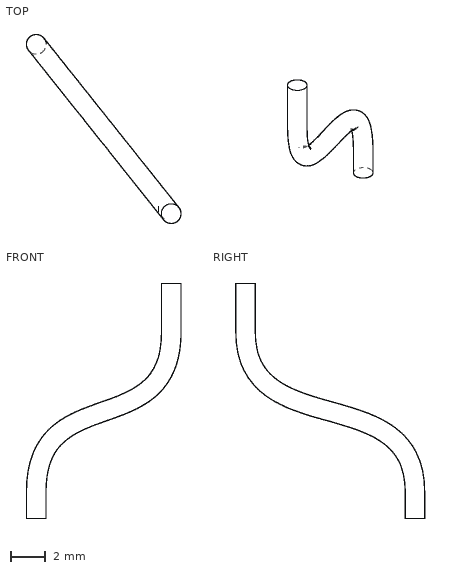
import cadquery as cq
import math

WIRE_DIAMETER = 1.14
OVERALL_X = 8.92
OVERALL_Y = 10.9
OVERALL_Z = 13.55
LOWER_LEG_LENGTH = 1.54
UPPER_LEG_LENGTH = 2.80

LOWER_HANDLE = 6.50
UPPER_HANDLE = 6.43

offset_x = OVERALL_X - WIRE_DIAMETER
offset_y = OVERALL_Y - WIRE_DIAMETER
span = math.hypot(offset_x, offset_y)

lower_bend_z = LOWER_LEG_LENGTH
upper_bend_z = OVERALL_Z - UPPER_LEG_LENGTH

lower_leg_foot = (-offset_x / 2, offset_y / 2, 0)


def make_centerline():
    """Lower leg, S-bend and upper leg, drawn as (distance along the span, height)."""
    bend_plane = cq.Plane(
        origin=lower_leg_foot,
        xDir=(offset_x, -offset_y, 0),
        normal=(-offset_y, -offset_x, 0),
    )
    bend_controls = [
        (0, lower_bend_z),
        (0, lower_bend_z + LOWER_HANDLE),
        (span, upper_bend_z - UPPER_HANDLE),
        (span, upper_bend_z),
    ]
    return (
        cq.Workplane(bend_plane)
        .lineTo(0, lower_bend_z)
        .bezier(bend_controls)
        .lineTo(span, OVERALL_Z)
    )


def make_wire():
    """Round section swept along the centerline."""
    section = cq.Workplane("XY", origin=lower_leg_foot).circle(WIRE_DIAMETER / 2)
    return section.sweep(make_centerline())


result = make_wire()